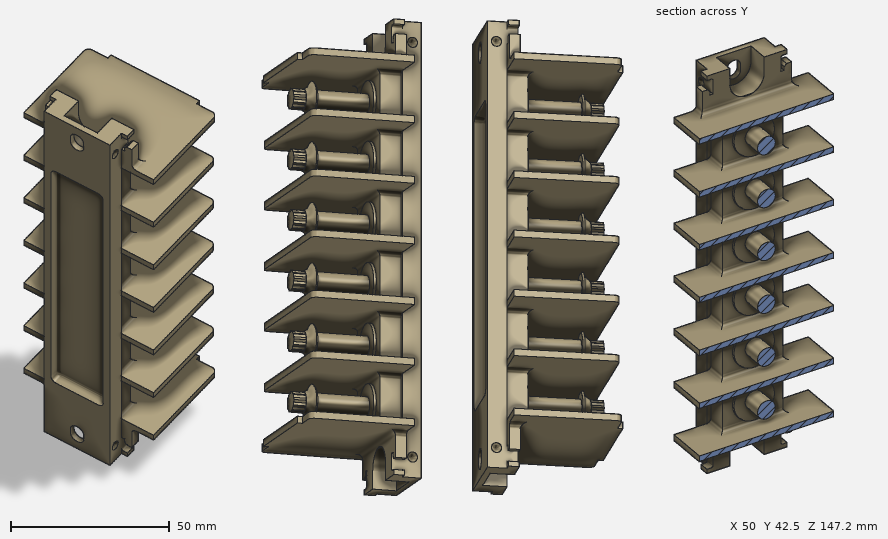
import cadquery as cq
import math


LENGTH = 147.2
BASE_WIDTH = 25.3
BASE_DEPTH = 6.3
TOP_Z = LENGTH / 2

PLATE_COUNT = 7
PLATE_PITCH = 19.6
PLATE_THICKNESS = 2.2
PLATE_WIDTH = 50.0
PLATE_CORNER = 1.9
INNER_PLATE_BACK = 40.2
END_PLATE_BACK = 40.9
END_TAB_WIDTH = 34.2
END_TAB_BACK = 42.5
END_PLATE_Z = PLATE_PITCH * (PLATE_COUNT - 1) / 2

TERMINAL_WIDTH = 22.4
TERMINAL_BACK = 13.2
TERMINAL_FLARE = 1.6
PAD_DIAMETER = 15.0
PAD_BACK = 14.1

STUD_DIAMETER = 6.8
FLANGE_FRONT = 32.0
FLANGE_BASE_RADIUS = 5.5
FLANGE_RADIUS = 6.0
FLANGE_EDGE = 0.6
FLANGE_WAIST_RADIUS = 4.5
FLANGE_WAIST_Y = 33.4
FLANGE_LENGTH = 3.1
NUT_POINT_RADIUS = 3.4
NUT_POINTS = 12
NUT_BACK = 39.2

END_BLOCK_WIDTH = 33.3
END_BLOCK_BACK = 9.9
END_BLOCK_FLARE = 1.9
LATCH_TOP_Z = 68.5
NOTCH_FLOOR_Z = 66.2
NOTCH_WIDTH = 1.2
NOTCH_CHAMFER = 0.9
LIP_WIDTH = 29.9
LIP_THICKNESS = 1.6
LIP_FILLET = 0.7

MOUNT_Z = 67.0
SLOT_WIDTH = 5.2
SLOT_HEIGHT = 6.8
RELIEF_WIDTH = 12.8
RELIEF_FLOOR = 2.0
DIMPLE_Y = 3.0
DIMPLE_DIAMETER = 3.2
DIMPLE_INNER_DIAMETER = 1.9
DIMPLE_STEP_DEPTH = 0.5
DIMPLE_DEPTH = 1.5

RECESS_WIDTH = 20.2
RECESS_HEIGHT = 97.2
RECESS_CORNER = 2.0
RECESS_DEPTH = 3.5
RECESS_FLOOR_FILLET = 1.0
RECESS_DRAFT = 8.0

SELECTION_MARGIN = 0.1


def block(width, front, back, bottom, top):
    """Box centred on X, given by its Y and Z limits."""
    size = (width, back - front, top - bottom)
    return cq.Workplane("XY").box(*size, centered=(True, False, False)).translate((0, front, bottom))


def both_ends(shape):
    """The shape together with its mirror image at the other end of the strip."""
    return shape.union(shape.mirror("XY"))


def plate(z, back):
    """Barrier plate with rounded rear corners, centred on height z."""
    half = PLATE_THICKNESS / 2
    body = block(PLATE_WIDTH, BASE_DEPTH, back, z - half, z + half)
    return body.edges("|Z and >Y").fillet(PLATE_CORNER)


def end_plate():
    """Upper end plate, with a tab along its rear edge."""
    half = PLATE_THICKNESS / 2
    tab = block(END_TAB_WIDTH, BASE_DEPTH, END_TAB_BACK, END_PLATE_Z - half, END_PLATE_Z + half)
    return plate(END_PLATE_Z, END_PLATE_BACK).union(tab)


def flare(body, width, back, z, radius):
    """Fillet the foot of a block where it meets a wider horizontal face at height z."""
    corner_a = (-width / 2 - SELECTION_MARGIN, BASE_DEPTH + SELECTION_MARGIN, z - SELECTION_MARGIN)
    corner_b = (width / 2 + SELECTION_MARGIN, back + SELECTION_MARGIN, z + SELECTION_MARGIN)
    return body.edges(cq.selectors.BoxSelector(corner_a, corner_b)).fillet(radius)


def end_block():
    """Upper end plate carrying the flared end block, its latch notches and its lip."""
    foot_z = END_PLATE_Z + PLATE_THICKNESS / 2
    latches = block(END_BLOCK_WIDTH, BASE_DEPTH, END_BLOCK_BACK, foot_z, LATCH_TOP_Z)
    body = flare(end_plate().union(latches), END_BLOCK_WIDTH, END_BLOCK_BACK, foot_z, END_BLOCK_FLARE)

    notch_half = BASE_WIDTH / 2 + NOTCH_WIDTH
    notch = (
        cq.Workplane("XZ", origin=(0, BASE_DEPTH, 0))
        .moveTo(-notch_half, NOTCH_FLOOR_Z)
        .lineTo(notch_half, NOTCH_FLOOR_Z)
        .lineTo(notch_half, LATCH_TOP_Z - NOTCH_CHAMFER)
        .lineTo(notch_half + NOTCH_CHAMFER, LATCH_TOP_Z)
        .lineTo(-notch_half - NOTCH_CHAMFER, LATCH_TOP_Z)
        .lineTo(-notch_half, LATCH_TOP_Z - NOTCH_CHAMFER)
        .close()
        .extrude(BASE_DEPTH - END_BLOCK_BACK)
    )
    lip_z = TOP_Z - LIP_THICKNESS
    core = block(BASE_WIDTH, BASE_DEPTH, END_BLOCK_BACK, NOTCH_FLOOR_Z, TOP_Z)
    lip = block(LIP_WIDTH, BASE_DEPTH, END_BLOCK_BACK, lip_z, TOP_Z)
    head = flare(core.union(lip), BASE_WIDTH, END_BLOCK_BACK, lip_z, LIP_FILLET)
    return body.cut(notch).union(head)


def barriers():
    """All plates joined by the flared terminal blocks and end blocks."""
    body = both_ends(end_block())
    for index in range(1, PLATE_COUNT - 1):
        z = index * PLATE_PITCH - END_PLATE_Z
        body = body.union(plate(z, INNER_PLATE_BACK))
    half_gap = (PLATE_PITCH - PLATE_THICKNESS) / 2
    for z in terminal_heights():
        bottom = z - half_gap
        top = z + half_gap
        body = body.union(block(TERMINAL_WIDTH, BASE_DEPTH, TERMINAL_BACK, bottom, top))
        for foot_z in (bottom, top):
            body = flare(body, TERMINAL_WIDTH, TERMINAL_BACK, foot_z, TERMINAL_FLARE)
    return body


def terminal_heights():
    """Heights midway between neighbouring plates."""
    return [(index + 0.5) * PLATE_PITCH - END_PLATE_Z for index in range(PLATE_COUNT - 1)]


def terminal():
    """Contact pad, stud and flanged nut on the Y axis."""
    flange_back = FLANGE_FRONT + FLANGE_LENGTH
    stud_radius = STUD_DIAMETER / 2
    turned = (
        cq.Workplane("XY")
        .moveTo(0, BASE_DEPTH)
        .lineTo(PAD_DIAMETER / 2, BASE_DEPTH)
        .lineTo(PAD_DIAMETER / 2, PAD_BACK)
        .lineTo(stud_radius, PAD_BACK)
        .lineTo(stud_radius, FLANGE_FRONT)
        .lineTo(FLANGE_BASE_RADIUS, FLANGE_FRONT)
        .lineTo(FLANGE_RADIUS, FLANGE_FRONT + FLANGE_EDGE)
        .threePointArc((FLANGE_WAIST_RADIUS, FLANGE_WAIST_Y), (NUT_POINT_RADIUS, flange_back))
        .lineTo(0, flange_back)
        .close()
        .revolve(360, (0, 0, 0), (0, 1, 0))
    )
    half_step = math.pi / NUT_POINTS
    valley_radius = NUT_POINT_RADIUS * math.cos(math.pi / 6) / math.cos(half_step)
    outline = []
    for index in range(2 * NUT_POINTS):
        radius = valley_radius if index % 2 else NUT_POINT_RADIUS
        angle = index * half_step
        outline.append((radius * math.cos(angle), radius * math.sin(angle)))
    nut = (
        cq.Workplane("XZ", origin=(0, FLANGE_FRONT, 0))
        .polyline(outline)
        .close()
        .extrude(FLANGE_FRONT - NUT_BACK)
    )
    return turned.union(nut)


def mounting_cut():
    """Slot, U-shaped relief open at the top, and side dimples of the upper end."""
    slot = (
        cq.Workplane("XZ", origin=(0, 0, MOUNT_Z))
        .slot2D(SLOT_HEIGHT, SLOT_WIDTH, 90)
        .extrude(-END_BLOCK_BACK)
    )
    relief_z = MOUNT_Z + (SLOT_HEIGHT - SLOT_WIDTH) / 2
    relief = (
        cq.Workplane("XZ", origin=(0, RELIEF_FLOOR, relief_z))
        .circle(RELIEF_WIDTH / 2)
        .extrude(RELIEF_FLOOR - END_BLOCK_BACK)
        .union(block(RELIEF_WIDTH, RELIEF_FLOOR, END_BLOCK_BACK, relief_z, TOP_Z))
    )
    side = BASE_WIDTH / 2
    dimple = (
        cq.Workplane("XY", origin=(0, 0, MOUNT_Z))
        .moveTo(side, DIMPLE_Y)
        .lineTo(side, DIMPLE_Y + DIMPLE_DIAMETER / 2)
        .lineTo(side - DIMPLE_STEP_DEPTH, DIMPLE_Y + DIMPLE_INNER_DIAMETER / 2)
        .lineTo(side - DIMPLE_DEPTH, DIMPLE_Y)
        .close()
        .revolve(360, (0, DIMPLE_Y, 0), (1, DIMPLE_Y, 0))
    )
    return slot.union(relief).union(dimple).union(dimple.mirror("YZ"))


def label_recess():
    """Rounded pocket with drafted walls and a filleted floor."""
    return (
        cq.Workplane("XZ")
        .sketch()
        .rect(RECESS_WIDTH, RECESS_HEIGHT)
        .vertices()
        .fillet(RECESS_CORNER)
        .finalize()
        .extrude(-RECESS_DEPTH, taper=RECESS_DRAFT)
        .faces(">Y")
        .edges()
        .fillet(RECESS_FLOOR_FILLET)
    )


base = block(BASE_WIDTH, 0, BASE_DEPTH, -TOP_Z, TOP_Z)
result = base.union(barriers())
for height in terminal_heights():
    result = result.union(terminal().translate((0, 0, height)))
result = result.cut(both_ends(mounting_cut())).cut(label_recess())